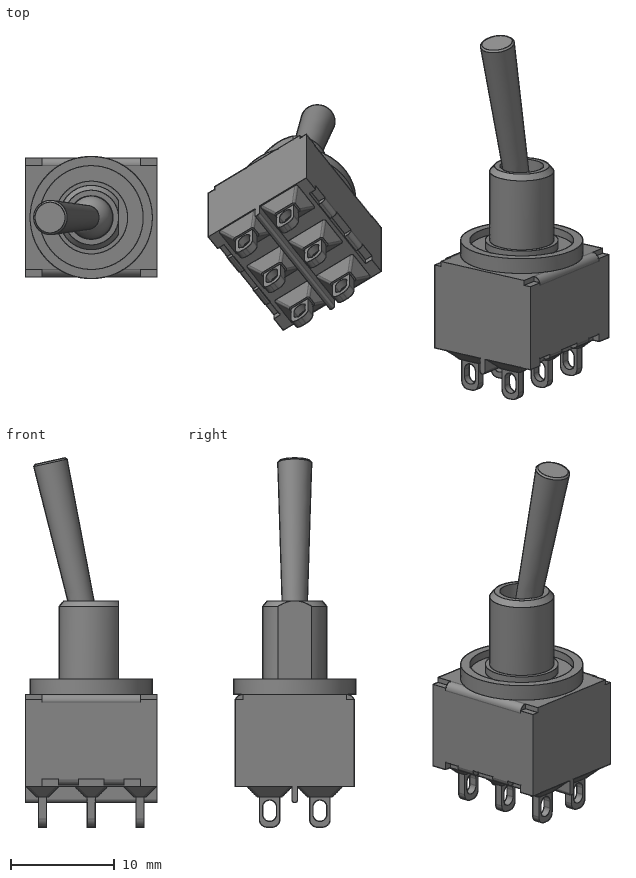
import cadquery as cq
import math


overall_height = 35.65

body_length = 12.7
body_width = 11.52
body_height = 8.9
frame_length = 9.52
frame_thickness = 0.75
frame_bend_radius = 0.75
frame_bottom = 0.75
corner_step = 0.5

tab_width = 1.93
tab_pitch = 4.4
tab_bottom = 0.18
tab_bend_radius = 0.45

washer_diameter = 11.8
washer_thickness = 1.5
recess_diameter = 10.02
recess_depth = 0.75
collar_diameter = 7.03
bushing_diameter = 6.2
bushing_height = 7.52
bushing_flat_distance = 2.65
bushing_chamfer_width = 0.45
bushing_chamfer_height = 0.55
bore_diameter = 4.2

lever_tilt = 12.5
lever_neck_radius = 1.1
lever_tip_radius = 1.658
lever_tip_chamfer = 0.18
ball_radius = bore_diameter / 2
pivot_depth = 4.45
bore_floor_above_pivot = 0.35

terminal_pitch_x = 4.7
terminal_pitch_y = 4.85
terminal_columns = 3
terminal_rows = 2
terminal_length = 3.92
terminal_width = 2.0
terminal_thickness = 0.8
terminal_corner_radius = 0.8
eye_width = 1.32
eye_height = 2.05
eye_center_depth = 2.32
base_length = 3.15
base_width = 4.35
base_height = 1.0
base_corner_radius = 0.32
rib_thickness = 0.57
rib_depth = 1.55
rib_nose_radius = 0.267

lever_top = overall_height - terminal_length
washer_top = body_height + washer_thickness
bushing_top = washer_top + bushing_height
pivot_height = bushing_top - pivot_depth
bore_depth = pivot_depth - bore_floor_above_pivot


def make_body():
    """Block with stepped top corners, a rounded frame panel and bent tabs on both long sides."""
    body = cq.Workplane("XY").box(body_length, body_width, body_height, centered=(True, True, False))
    end_length = (body_length - frame_length) / 2
    side_center = (body_width - frame_thickness) / 2

    for side in (-1, 1):
        face = ">Y" if side > 0 else "<Y"
        for end in (-1, 1):
            step = (
                cq.Workplane("XY", origin=(0, 0, body_height - corner_step))
                .center(end * (body_length - end_length) / 2, side * side_center)
                .rect(end_length, frame_thickness)
                .extrude(corner_step)
            )
            body = body.cut(step)

        strip = (
            cq.Workplane("XY")
            .center(0, side * side_center)
            .rect(frame_length, frame_thickness)
            .extrude(body_height)
        )
        panel_blank = (
            cq.Workplane("XY", origin=(0, 0, frame_bottom))
            .rect(frame_length, body_width)
            .extrude(body_height - frame_bottom)
            .faces(face).edges(">Z").fillet(frame_bend_radius)
        )
        body = body.cut(strip).union(panel_blank.intersect(strip))

        tab = (
            cq.Workplane("XY", origin=(0, 0, tab_bottom))
            .pushPoints([(-tab_pitch / 2, side * side_center), (tab_pitch / 2, side * side_center)])
            .rect(tab_width, frame_thickness)
            .extrude(frame_bottom - tab_bottom)
            .faces(face).edges("<Z").fillet(tab_bend_radius)
        )
        body = body.union(tab)
    return body


def make_washer():
    """Round washer with a ring-shaped recess that leaves a collar around the bushing."""
    return (
        cq.Workplane("XY", origin=(0, 0, body_height))
        .circle(washer_diameter / 2)
        .extrude(washer_thickness)
        .faces(">Z").workplane()
        .circle(recess_diameter / 2)
        .circle(collar_diameter / 2)
        .cutBlind(-recess_depth)
    )


def make_bushing():
    """Bushing with a chamfered mouth and one flat on the +X side."""
    radius = bushing_diameter / 2
    bushing = (
        cq.Workplane("XY", origin=(0, 0, washer_top))
        .circle(radius)
        .extrude(bushing_height)
        .faces(">Z").edges().chamfer(bushing_chamfer_height, bushing_chamfer_width)
    )
    flat_cut = (
        cq.Workplane("XY", origin=(bushing_flat_distance + radius, 0, washer_top))
        .rect(bushing_diameter, bushing_diameter)
        .extrude(bushing_height)
    )
    return bushing.cut(flat_cut)


def make_bore():
    """Hole from the bushing mouth down to the ball."""
    return (
        cq.Workplane("XY", origin=(0, 0, bushing_top))
        .circle(bore_diameter / 2)
        .extrude(-bore_depth)
    )


def make_lever():
    """Ball and tapered lever; the length puts the high edge of the tilted tip at lever_top."""
    tilt = math.radians(lever_tilt)
    tip_face_radius = lever_tip_radius - lever_tip_chamfer
    length = (lever_top - pivot_height - tip_face_radius * math.sin(tilt)) / math.cos(tilt)
    bar = (
        cq.Workplane("XZ")
        .polyline([
            (0, 0),
            (lever_neck_radius, 0),
            (lever_tip_radius, length - lever_tip_chamfer),
            (tip_face_radius, length),
            (0, length),
        ])
        .close()
        .revolve(360, (0, 0), (0, 1))
        .rotate((0, 0, 0), (0, 1, 0), -lever_tilt)
    )
    ball = cq.Workplane("XY").sphere(ball_radius)
    return bar.union(ball).translate((0, 0, pivot_height))


def make_terminal():
    """One terminal at the origin: tapered base and a rounded blade with an oblong eye."""
    base = (
        cq.Workplane("XY")
        .rect(base_length, base_width)
        .workplane(offset=-base_height)
        .rect(base_length - 2 * base_height, base_width - 2 * base_height)
        .loft()
        .edges("not #Z").fillet(base_corner_radius)
    )
    blade = (
        cq.Workplane("XY")
        .rect(terminal_thickness, terminal_width)
        .extrude(-terminal_length)
        .faces("<Z").edges("|X").fillet(terminal_corner_radius)
    )
    eye = (
        cq.Workplane("YZ", origin=(0, 0, -eye_center_depth))
        .slot2D(eye_height, eye_width, 90)
        .extrude(terminal_thickness, both=True)
    )
    return base.union(blade).cut(eye)


def make_rib():
    """Rib with a rounded nose between the terminal rows."""
    return (
        cq.Workplane("XY")
        .rect(body_length, rib_thickness)
        .extrude(-rib_depth)
        .faces("<Z").edges("|X").fillet(rib_nose_radius)
    )


result = make_body().union(make_washer()).union(make_bushing())
result = result.cut(make_bore()).union(make_lever()).union(make_rib())

terminal = make_terminal()
for column in range(terminal_columns):
    for row in range(terminal_rows):
        x = (column - (terminal_columns - 1) / 2) * terminal_pitch_x
        y = (row - (terminal_rows - 1) / 2) * terminal_pitch_y
        result = result.union(terminal.translate((x, y, 0)))